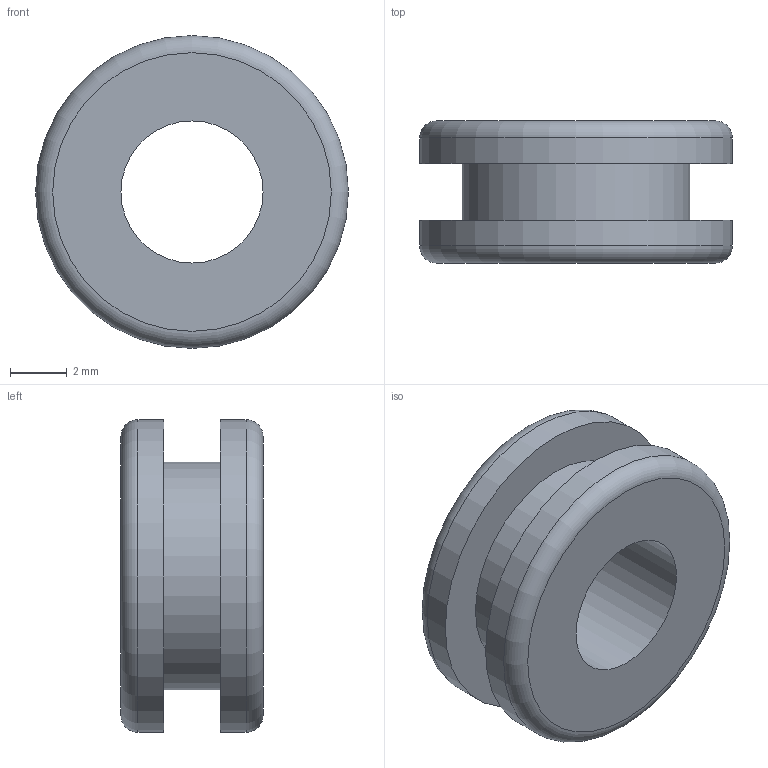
import cadquery as cq

outer_diameter = 11.0
groove_diameter = 8.0
bore_diameter = 5.0
groove_width = 2.0
flange_thickness = 1.5
rim_radius = 0.6

total_width = groove_width + 2 * flange_thickness


def cylinder_along_y(diameter, length, y_start):
    """Solid cylinder running in +Y from y_start."""
    return (
        cq.Workplane("XZ", origin=(0, y_start, 0))
        .circle(diameter / 2)
        .extrude(-length)
    )


def flange(y_start, outer_face):
    """Flange disc with its rim rounded on the outward-facing side."""
    disc = cylinder_along_y(outer_diameter, flange_thickness, y_start)
    return disc.faces(outer_face).edges().fillet(rim_radius)


front_flange = flange(-total_width / 2, "<Y")
back_flange = flange(groove_width / 2, ">Y")
hub = cylinder_along_y(groove_diameter, total_width, -total_width / 2)
bore = cylinder_along_y(bore_diameter, total_width, -total_width / 2)

result = hub.union(front_flange).union(back_flange).cut(bore)